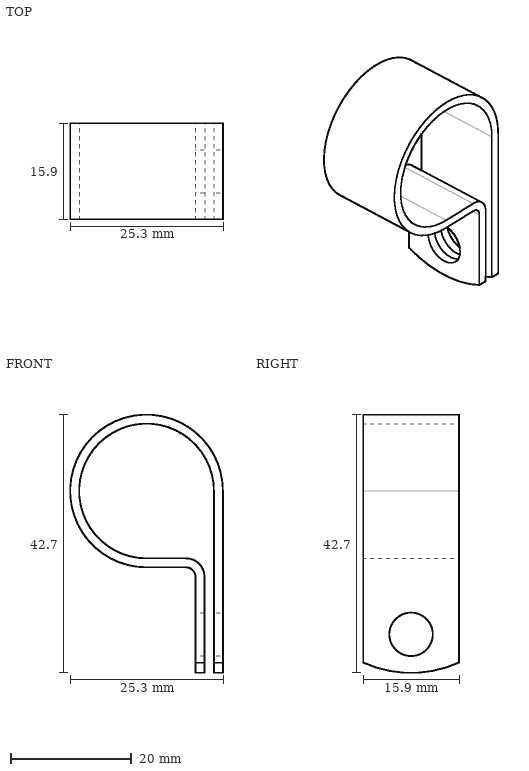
import cadquery as cq
import math

strap_thickness = 1.524
strap_width = 15.875
loop_inner_radius = 22.225 / 2
overall_height = 42.72
leg_gap = 1.524
bend_inner_radius = 1.524
hole_diameter = 7.14
hole_to_tip = 6.4
tip_radius = 19.05

loop_outer_radius = loop_inner_radius + strap_thickness
half_width = strap_width / 2
tip_z = loop_outer_radius - overall_height
hole_z = tip_z + hole_to_tip
tip_rise = tip_radius - math.sqrt(tip_radius**2 - half_width**2)
tip_corner_z = tip_z + tip_rise

short_leg_outer_x = loop_inner_radius - leg_gap
short_leg_inner_x = short_leg_outer_x - strap_thickness
bend_outer_radius = bend_inner_radius + strap_thickness
bend_x = short_leg_outer_x - bend_outer_radius
bend_z = -loop_inner_radius - bend_outer_radius


def bend_midpoint(radius):
    """Point halfway round the quarter bend between the loop and the short leg."""
    offset = radius * math.sqrt(0.5)
    return bend_x + offset, bend_z + offset


def loop_midpoint(radius):
    """Point halfway round the three-quarter loop."""
    offset = radius * math.sqrt(0.5)
    return -offset, offset


def make_strap():
    """Bent strap profile, extruded to the full width and centred on Y = 0."""
    profile = (
        cq.Workplane("XZ")
        .moveTo(loop_outer_radius, tip_z)
        .lineTo(loop_outer_radius, 0)
        .threePointArc(loop_midpoint(loop_outer_radius), (0, -loop_outer_radius))
        .lineTo(bend_x, -loop_outer_radius)
        .threePointArc(bend_midpoint(bend_inner_radius), (short_leg_inner_x, bend_z))
        .lineTo(short_leg_inner_x, tip_z)
        .lineTo(short_leg_outer_x, tip_z)
        .lineTo(short_leg_outer_x, bend_z)
        .threePointArc(bend_midpoint(bend_outer_radius), (bend_x, -loop_inner_radius))
        .lineTo(0, -loop_inner_radius)
        .threePointArc(loop_midpoint(loop_inner_radius), (loop_inner_radius, 0))
        .lineTo(loop_inner_radius, tip_z)
        .close()
    )
    return profile.extrude(half_width, both=True)


def make_side_outline():
    """Block with a rounded lower end that trims both leg tips."""
    return (
        cq.Workplane("YZ")
        .moveTo(-half_width, loop_outer_radius)
        .lineTo(-half_width, tip_corner_z)
        .threePointArc((0, tip_z), (half_width, tip_corner_z))
        .lineTo(half_width, loop_outer_radius)
        .close()
        .extrude(loop_outer_radius, both=True)
    )


def make_screw_hole():
    """Cylinder along X that passes through both legs."""
    return (
        cq.Workplane("YZ")
        .center(0, hole_z)
        .circle(hole_diameter / 2)
        .extrude(loop_outer_radius)
    )


result = make_strap().intersect(make_side_outline()).cut(make_screw_hole())